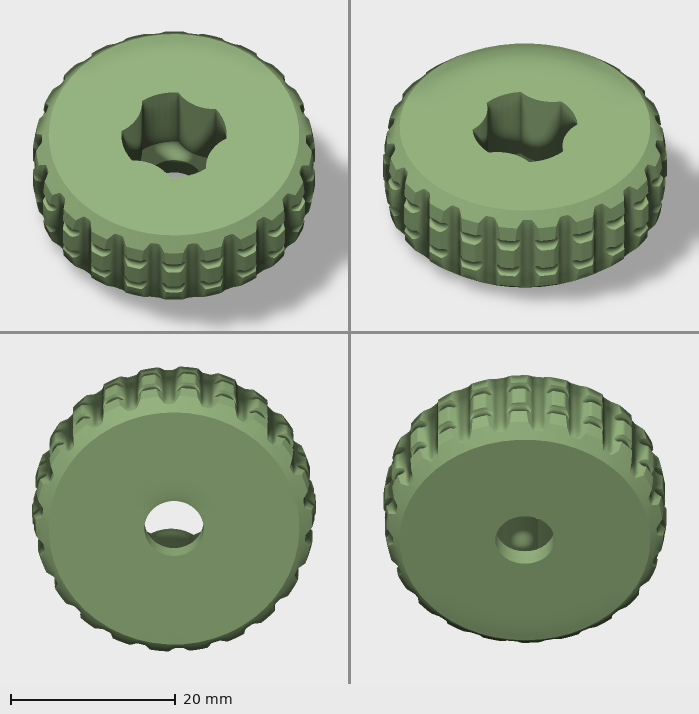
import cadquery as cq
import math

outer_radius = 17.2
height = 12.5
half_height = height / 2
face_radius = 15.2

middle_band_half_height = 1.72
shoulder_radius = 16.75
shoulder_height = half_height - (shoulder_radius - face_radius)

knob_count = 22
pitch_angle = 360 / knob_count
flute_floor_radius = 15.98
flute_floor_half_width = 0.55
flute_wall_angle = 45.0
knob_rounding = 0.48

groove_radius = 0.72
groove_offset = 2.13
groove_floor_radius = 16.33

bore_diameter = 7.2
pocket_diameter = 12.8
pocket_depth = 10.0
lobe_radius = 5.0
lobe_center_distance = 10.1
lobe_count = 4


def rotated(x, y, angle):
    """Turn a point about the wheel axis by an angle in degrees."""
    c = math.cos(math.radians(angle))
    s = math.sin(math.radians(angle))
    return (x * c - y * s, x * s + y * c)


def make_fluted_prism():
    """Prism with a knob centred on +X; flutes have flat floors and sloping walls."""
    slope = math.tan(math.radians(flute_wall_angle))
    wall_start = flute_floor_radius - flute_floor_half_width * slope
    a = 1 + slope**2
    b = wall_start * slope
    c = wall_start**2 - outer_radius**2
    corner_half_width = (math.sqrt(b**2 - a * c) - b) / a
    corner_radial = wall_start + corner_half_width * slope

    first_flute = -pitch_angle / 2
    outline = cq.Workplane("XY", origin=(0, 0, -half_height))
    outline = outline.moveTo(*rotated(corner_radial, corner_half_width, first_flute))
    for i in range(knob_count):
        knob = i * pitch_angle
        flute = knob + pitch_angle / 2
        outline = outline.threePointArc(
            rotated(outer_radius, 0, knob),
            rotated(corner_radial, -corner_half_width, flute),
        )
        outline = outline.lineTo(*rotated(flute_floor_radius, -flute_floor_half_width, flute))
        outline = outline.lineTo(*rotated(flute_floor_radius, flute_floor_half_width, flute))
        outline = outline.lineTo(*rotated(corner_radial, corner_half_width, flute))
    return outline.close().extrude(height).edges("|Z").fillet(knob_rounding)


def make_rim_envelope():
    """Solid of revolution that gives the chamfers and tapered shoulders."""
    return (
        cq.Workplane("XZ")
        .moveTo(0, -half_height)
        .lineTo(face_radius, -half_height)
        .lineTo(shoulder_radius, -shoulder_height)
        .lineTo(outer_radius, -middle_band_half_height)
        .lineTo(outer_radius, middle_band_half_height)
        .lineTo(shoulder_radius, shoulder_height)
        .lineTo(face_radius, half_height)
        .lineTo(0, half_height)
        .close()
        .revolve(360, (0, 0, 0), (0, 1, 0))
    )


def make_ring_groove(z):
    """Ring with a round floor and parallel side walls, open outward."""
    center_radius = groove_floor_radius + groove_radius
    open_radius = outer_radius + groove_radius
    return (
        cq.Workplane("XZ")
        .moveTo(open_radius, z - groove_radius)
        .lineTo(center_radius, z - groove_radius)
        .threePointArc((groove_floor_radius, z), (center_radius, z + groove_radius))
        .lineTo(open_radius, z + groove_radius)
        .close()
        .revolve(360, (0, 0, 0), (0, 1, 0))
    )


def make_pocket():
    """Round pocket whose wall bulges inward at four diagonal lobes."""
    floor_z = half_height - pocket_depth
    disc = cq.Workplane("XY", origin=(0, 0, floor_z)).circle(pocket_diameter / 2).extrude(pocket_depth)
    lobes = (
        cq.Workplane("XY", origin=(0, 0, floor_z))
        .polarArray(lobe_center_distance, 45, 360, lobe_count)
        .circle(lobe_radius)
        .extrude(pocket_depth)
    )
    return disc.cut(lobes)


wheel = make_fluted_prism().intersect(make_rim_envelope())
for groove_z in (-groove_offset, groove_offset):
    wheel = wheel.cut(make_ring_groove(groove_z))

bore = cq.Workplane("XY", origin=(0, 0, -half_height)).circle(bore_diameter / 2).extrude(height)
result = wheel.cut(make_pocket()).cut(bore)